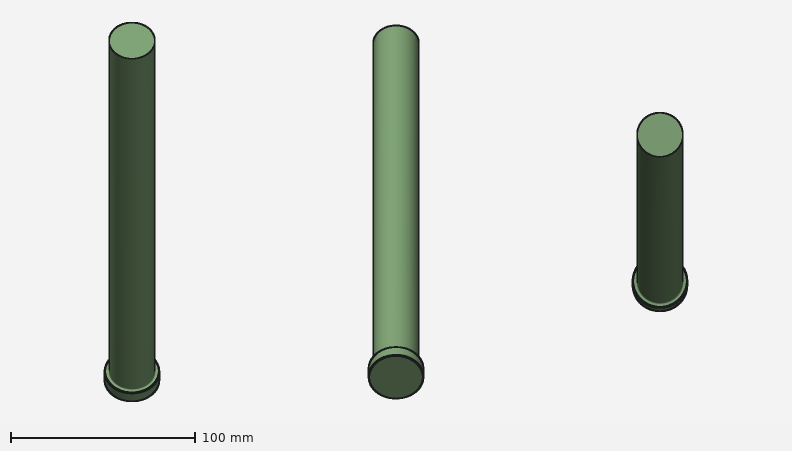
import cadquery as cq

total_length = 300.0
shank_diameter = 25.0
head_diameter = 30.0
head_height = 8.0
head_edge_chamfer = 0.5
neck_fillet_radius = 0.5


def make_head():
    """Round head at the bottom, with both of its outer edges chamfered."""
    head = cq.Workplane("XY").circle(head_diameter / 2).extrude(head_height)
    return head.edges("%CIRCLE").chamfer(head_edge_chamfer)


def make_shank():
    """Plain cylindrical shank, standing on top of the head."""
    shank_length = total_length - head_height
    return cq.Workplane("XY").workplane(offset=head_height).circle(shank_diameter / 2).extrude(shank_length)


def fillet_neck(pin):
    """Round the inside corner where the shank meets the top of the head."""
    shoulder = pin.faces("+Z").faces(">Z[-2]")
    neck_edge = shoulder.edges(cq.selectors.RadiusNthSelector(0))
    return neck_edge.fillet(neck_fillet_radius)


result = fillet_neck(make_head().union(make_shank()))